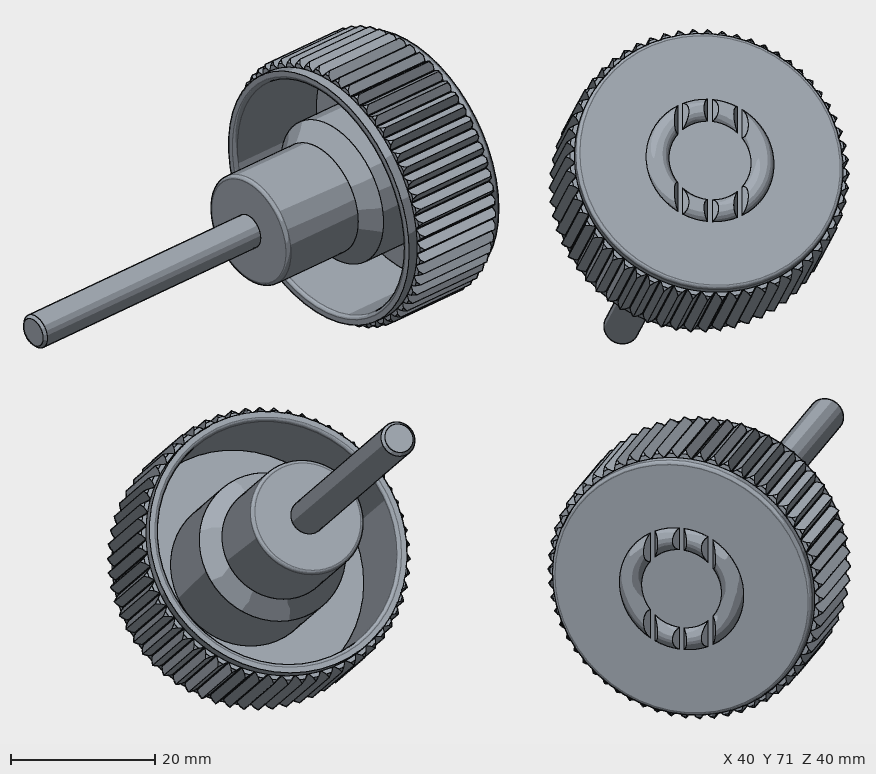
import cadquery as cq
import math


TOTAL_LENGTH = 71.0
BEAD_HEIGHT = 1.0
HEAD_END = 17.95
HUB_END = 30.95

PIN_RADIUS = 5.0 / 2
HUB_RADIUS = 16.5 / 2
HUB_ROOT_RADIUS = 21.45 / 2
CAVITY_RADIUS = 35.1 / 2
HEAD_RADIUS = 37.7 / 2
KNURL_RADIUS = 40.0 / 2

FLOOR_THICKNESS = 1.85
FLOOR_DEPTH = BEAD_HEIGHT + FLOOR_THICKNESS
CONE_END = HEAD_END
CONE_START = CONE_END - (HUB_ROOT_RADIUS - HUB_RADIUS)

EDGE_FILLET = 0.5
PIN_CHAMFER = 0.4

TOOTH_COUNT = 60
KNURL_START = 2.5
KNURL_END = 16.5
TOOTH_HALF_WIDTH = 0.9
TOOTH_CHAMFER = 0.5
TOOTH_EMBED = 0.35

BEAD_INNER_RADIUS = 11.6 / 2
BEAD_OUTER_RADIUS = 9.0
BEAD_EMBED = 0.35
GROOVE_PITCH = 4.2
GROOVE_TOP_WIDTH = 2.05
GROOVE_SLOPE_ANGLE = 35.0
GROOVE_BASE_WIDTH = GROOVE_TOP_WIDTH - 2 * BEAD_HEIGHT * math.tan(math.radians(GROOVE_SLOPE_ANGLE))


def revolve_profile(profile):
    """Close a half-profile drawn from the axis and turn it around the Y axis."""
    return profile.close().revolve(360, (0, 0, 0), (0, 1, 0))


def make_body():
    """Head with its cavity, coned hub and pin, turned as one solid."""
    corner = EDGE_FILLET * math.sqrt(0.5)
    profile = (
        cq.Workplane("XY")
        .moveTo(0, -BEAD_HEIGHT)
        .lineTo(HEAD_RADIUS - EDGE_FILLET, -BEAD_HEIGHT)
        .threePointArc(
            (HEAD_RADIUS - EDGE_FILLET + corner, -BEAD_HEIGHT - EDGE_FILLET + corner),
            (HEAD_RADIUS, -BEAD_HEIGHT - EDGE_FILLET),
        )
        .lineTo(HEAD_RADIUS, -HEAD_END)
        .lineTo(CAVITY_RADIUS + EDGE_FILLET, -HEAD_END)
        .threePointArc(
            (CAVITY_RADIUS + EDGE_FILLET - corner, -HEAD_END + EDGE_FILLET - corner),
            (CAVITY_RADIUS, -HEAD_END + EDGE_FILLET),
        )
        .lineTo(CAVITY_RADIUS, -FLOOR_DEPTH)
        .lineTo(HUB_ROOT_RADIUS, -FLOOR_DEPTH)
        .lineTo(HUB_ROOT_RADIUS, -CONE_START)
        .lineTo(HUB_RADIUS, -CONE_END)
        .lineTo(HUB_RADIUS, -HUB_END + EDGE_FILLET)
        .threePointArc(
            (HUB_RADIUS - EDGE_FILLET + corner, -HUB_END + EDGE_FILLET - corner),
            (HUB_RADIUS - EDGE_FILLET, -HUB_END),
        )
        .lineTo(PIN_RADIUS, -HUB_END)
        .lineTo(PIN_RADIUS, -TOTAL_LENGTH + PIN_CHAMFER)
        .lineTo(PIN_RADIUS - PIN_CHAMFER, -TOTAL_LENGTH)
        .lineTo(0, -TOTAL_LENGTH)
    )
    return revolve_profile(profile)


def make_knurl():
    """Triangular teeth with chamfered ends, spaced evenly around the head."""
    root = HEAD_RADIUS - TOOTH_EMBED
    tooth = (
        cq.Workplane("XZ", origin=(0, -KNURL_START, 0))
        .moveTo(-TOOTH_HALF_WIDTH, root)
        .lineTo(-TOOTH_HALF_WIDTH, HEAD_RADIUS)
        .lineTo(0, KNURL_RADIUS)
        .lineTo(TOOTH_HALF_WIDTH, HEAD_RADIUS)
        .lineTo(TOOTH_HALF_WIDTH, root)
        .close()
        .extrude(KNURL_END - KNURL_START)
    )
    envelope = revolve_profile(
        cq.Workplane("XY")
        .moveTo(0, -KNURL_START)
        .lineTo(KNURL_RADIUS - TOOTH_CHAMFER, -KNURL_START)
        .lineTo(KNURL_RADIUS, -KNURL_START - TOOTH_CHAMFER)
        .lineTo(KNURL_RADIUS, -KNURL_END + TOOTH_CHAMFER)
        .lineTo(KNURL_RADIUS - TOOTH_CHAMFER, -KNURL_END)
        .lineTo(0, -KNURL_END)
    )
    tooth = tooth.intersect(envelope).val()
    step_angle = 360 / TOOTH_COUNT
    return [tooth.rotate((0, 0, 0), (0, 1, 0), i * step_angle) for i in range(TOOTH_COUNT)]


def make_bead():
    """Raised annular bead with an arched section, split by three tapered grooves."""
    crest_radius = (BEAD_INNER_RADIUS + BEAD_OUTER_RADIUS) / 2
    bead = revolve_profile(
        cq.Workplane("XY")
        .moveTo(BEAD_INNER_RADIUS, -BEAD_HEIGHT - BEAD_EMBED)
        .lineTo(BEAD_INNER_RADIUS, -BEAD_HEIGHT)
        .threePointArc((crest_radius, 0), (BEAD_OUTER_RADIUS, -BEAD_HEIGHT))
        .lineTo(BEAD_OUTER_RADIUS, -BEAD_HEIGHT - BEAD_EMBED)
    )
    for index in (-1, 0, 1):
        center = index * GROOVE_PITCH
        groove = (
            cq.Workplane("XY")
            .moveTo(center - GROOVE_TOP_WIDTH / 2, 0)
            .lineTo(center + GROOVE_TOP_WIDTH / 2, 0)
            .lineTo(center + GROOVE_BASE_WIDTH / 2, -BEAD_HEIGHT)
            .lineTo(center - GROOVE_BASE_WIDTH / 2, -BEAD_HEIGHT)
            .close()
            .extrude(BEAD_OUTER_RADIUS, both=True)
        )
        bead = bead.cut(groove)
    return bead


body = make_body().val().fuse(*make_knurl())
result = cq.Workplane("XY").newObject([body]).union(make_bead())